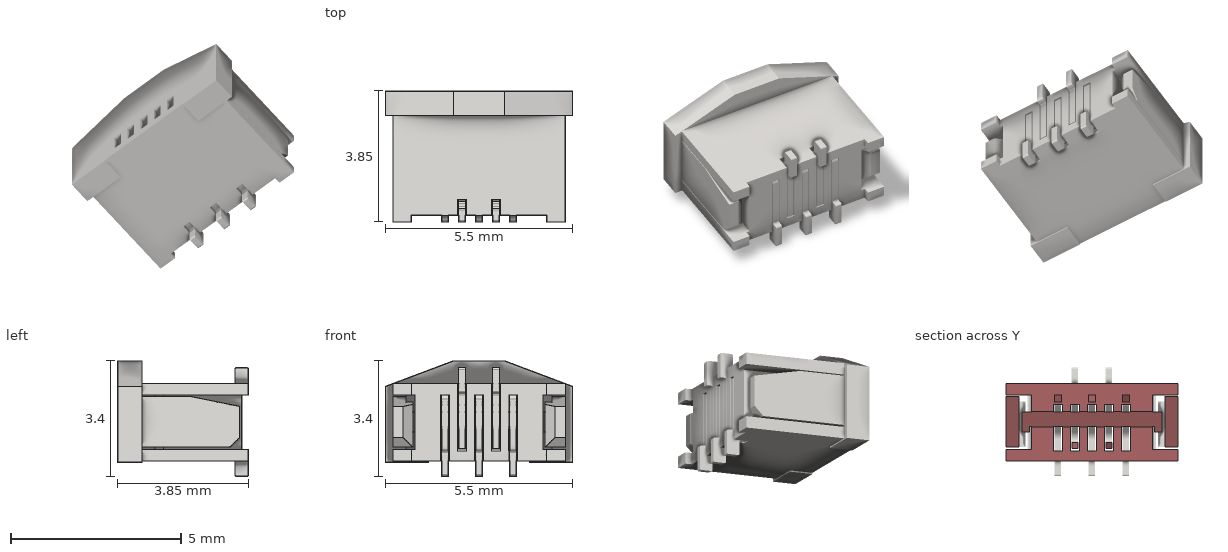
import cadquery as cq


total_width = 5.5
total_depth = 3.85
flange_thickness = 0.72
flange_front_y = total_depth - flange_thickness
flange_drop = 0.04
flange_shoulder_z = 2.195
flange_top_z = 2.95
flange_top_width = 1.495
foot_gap_width = 2.96
block_width = 5.07
block_height = 2.28
block_face_y = 0.2
leg_inner_width = 3.98
leg_thickness = 0.345

pocket_bottom_z = leg_thickness
pocket_top_z = block_height - leg_thickness
pocket_wall_x = 1.885
relief_wall_x = 1.83
relief_front_y = 2.49
relief_taper_y = 2.745
relief_inner_x = 1.605
groove_depth = 0.35

arm_outer_x = block_width / 2
arm_inner_x = 2.145
arm_bottom_z = 0.405
arm_top_z = 1.905
arm_tip_y = 0.26
arm_slope_y = 1.725
arm_tip_top_z = 1.605
tip_chamfer = 0.285
hook_inner_x = 1.945
hook_rear_y = 0.915
bar_bottom_z = 1.005
bar_top_z = 1.445
bar_front_y = relief_taper_y
bar_root_bottom_z = 0.85
bar_root_arm_y = 2.935

contact_pitch = 0.5
contact_width = 0.2
contact_thickness = 0.4
beam_height = 0.2
tail_reach = 0.45
strip_top_z = block_height - leg_thickness
strip_front_y = block_face_y
strip_rear_y = strip_front_y + contact_thickness
shoulder_front_z = 0.295
shoulder_rear_z = shoulder_front_z - beam_height
bend_radius = 0.05
beam_bend_radius = 0.11
beam_root_radius = 0.065
upper_contact_rise = 0.01
tail_radius = 0.05

slot_width = 0.255
slot_rear_y = 0.66
slot_end_gap = 0.045
tunnel_bottom_z = leg_thickness - slot_end_gap
tunnel_top_z = 1.65
mouth_top_z = 0.945

lower_contact_places = [step * contact_pitch for step in (-2, 0, 2)]
upper_contact_places = [step * contact_pitch for step in (-1, 1)]


def box(x_range, y_range, z_range):
    """Box between two limits along each axis."""
    lengths = [limits[1] - limits[0] for limits in (x_range, y_range, z_range)]
    corner = (x_range[0], y_range[0], z_range[0])
    return cq.Workplane("XY").box(*lengths, centered=False).translate(corner)


def centred_box(centre_x, width, y_range, z_range):
    """Box whose width is centred on one X position."""
    return box((centre_x - width / 2, centre_x + width / 2), y_range, z_range)


def both_sides(shape):
    """The shape together with its mirror image across the plane of symmetry."""
    return shape.union(shape.mirror("YZ"))


def plan_prism(points, z_range):
    """Prism standing on an outline of (x, y) points."""
    bottom_z, top_z = z_range
    return cq.Workplane("XY", origin=(0, 0, bottom_z)).polyline(points).close().extrude(top_z - bottom_z)




def make_flange():
    half_width = total_width / 2
    half_gap = foot_gap_width / 2
    half_top = flange_top_width / 2
    outline = [
        (half_gap, 0),
        (half_gap, -flange_drop),
        (half_width, -flange_drop),
        (half_width, flange_shoulder_z),
        (half_top, flange_top_z),
    ]
    outline += [(-x, z) for x, z in reversed(outline)]
    return (
        cq.Workplane("XZ", origin=(0, flange_front_y, 0))
        .polyline(outline)
        .close()
        .extrude(-flange_thickness)
    )


def make_block():
    block = centred_box(0, block_width, (0, flange_front_y), (0, block_height))
    face_recess = centred_box(0, leg_inner_width, (0, block_face_y), (0, block_height))
    return block.cut(face_recess)


def make_side_pockets():
    outside_x = block_width / 2
    z_range = (pocket_bottom_z, pocket_top_z)
    outline = [
        (outside_x, 0),
        (pocket_wall_x, 0),
        (pocket_wall_x, relief_front_y),
        (relief_wall_x, relief_front_y),
        (relief_wall_x, relief_taper_y),
        (relief_inner_x, flange_front_y),
        (relief_inner_x, flange_front_y + groove_depth),
        (arm_inner_x, flange_front_y),
        (outside_x, flange_front_y),
    ]
    return both_sides(plan_prism(outline, z_range))


def make_slot(centre_x, z_range):
    """Contact slot in the block face, with its tunnel and its mouth through the flange."""
    slot = centred_box(centre_x, slot_width, (block_face_y, slot_rear_y), z_range)
    tunnel_z = (tunnel_bottom_z, tunnel_top_z)
    mouth_z = (tunnel_bottom_z, mouth_top_z)
    tunnel = centred_box(centre_x, slot_width, (slot_rear_y, flange_front_y), tunnel_z)
    mouth = centred_box(centre_x, slot_width, (flange_front_y, total_depth), mouth_z)
    return slot.union(tunnel).union(mouth)


def make_housing(latch, contacts):
    housing = make_block().union(make_flange()).cut(make_side_pockets())
    for centre_x in lower_contact_places:
        housing = housing.cut(make_slot(centre_x, (0, strip_top_z)))
    for centre_x in upper_contact_places:
        housing = housing.cut(make_slot(centre_x, (tunnel_bottom_z, block_height)))
    for body in [latch, *contacts]:
        housing = housing.cut(body)
    return housing




def make_arm():
    """Right-hand latch arm with a chamfered hook at its tip."""
    plan = [
        (arm_outer_x, flange_front_y),
        (arm_outer_x, arm_tip_y),
        (hook_inner_x + tip_chamfer, arm_tip_y),
        (hook_inner_x, arm_tip_y + tip_chamfer),
        (hook_inner_x, hook_rear_y),
        (arm_inner_x, hook_rear_y),
        (arm_inner_x, flange_front_y),
    ]
    side = [
        (flange_front_y, arm_bottom_z),
        (arm_tip_y + tip_chamfer, arm_bottom_z),
        (arm_tip_y, arm_bottom_z + tip_chamfer),
        (arm_tip_y, arm_tip_top_z),
        (arm_slope_y, arm_top_z),
        (flange_front_y, arm_top_z),
    ]
    side_prism = cq.Workplane("YZ").polyline(side).close().extrude(block_width)
    return plan_prism(plan, (arm_bottom_z, arm_top_z)).intersect(side_prism)


def make_bar_root():
    """Sloping root that joins the right-hand arm to the cross bar."""
    outline = [
        (arm_inner_x, flange_front_y),
        (arm_inner_x, bar_root_arm_y),
        (pocket_wall_x, relief_front_y),
        (relief_wall_x, relief_front_y),
        (relief_wall_x, flange_front_y),
    ]
    return plan_prism(outline, (bar_root_bottom_z, bar_top_z))


def make_latch():
    """Two arms joined by a bar that crosses the block behind the contact slots."""
    bar = centred_box(0, 2 * relief_wall_x, (bar_front_y, flange_front_y), (bar_bottom_z, bar_top_z))
    return both_sides(make_arm().union(make_bar_root())).union(bar)




def round_corner(contact, centre_x, y, z, radius):
    """Round the contact's edge along X that passes through one (y, z) corner."""
    corner = cq.selectors.NearestToPointSelector((centre_x, y, z))
    return contact.edges("|X").edges(corner).fillet(radius)


def make_contact(centre_x):
    """Contact with its tail pointing down and its beam at the top, sharp at the bend into the beam."""
    beam_bottom_z = strip_top_z - beam_height
    left_x = centre_x - contact_width / 2
    outline = [
        (0, -tail_reach),
        (0, shoulder_front_z),
        (strip_front_y, shoulder_front_z),
        (strip_front_y, strip_top_z),
        (flange_front_y, strip_top_z),
        (flange_front_y, beam_bottom_z),
        (strip_rear_y, beam_bottom_z),
        (strip_rear_y, shoulder_rear_z),
        (contact_thickness, shoulder_rear_z),
        (contact_thickness, -tail_reach),
    ]
    roundings = [
        (tail_radius, [(0, -tail_reach), (contact_thickness, -tail_reach)]),
        (bend_radius, [(0, shoulder_front_z), (strip_front_y, shoulder_front_z)]),
        (bend_radius, [(strip_rear_y, shoulder_rear_z), (contact_thickness, shoulder_rear_z)]),
        (beam_root_radius, [(strip_rear_y, beam_bottom_z)]),
    ]
    contact = cq.Workplane("YZ", origin=(left_x, 0, 0)).polyline(outline).close().extrude(contact_width)
    for radius, corners in roundings:
        for y, z in corners:
            contact = round_corner(contact, centre_x, y, z, radius)
    return contact


def make_lower_contact(centre_x):
    """Contact whose bend into the beam is rounded."""
    return round_corner(make_contact(centre_x), centre_x, strip_front_y, strip_top_z, beam_bend_radius)


def make_upper_contact(centre_x):
    """Contact turned over, so that its tail points up."""
    turned_over = make_contact(centre_x).mirror("XY", (0, 0, block_height / 2))
    return turned_over.translate((0, 0, upper_contact_rise))


lower_contacts = [make_lower_contact(x) for x in lower_contact_places]
upper_contacts = [make_upper_contact(x) for x in upper_contact_places]
contacts = lower_contacts + upper_contacts
latch = make_latch()
housing = make_housing(latch, contacts)

contact_solids = [contact.solids().val() for contact in contacts]
result = cq.Compound.makeCompound([housing.solids().val(), latch.solids().val(), *contact_solids])